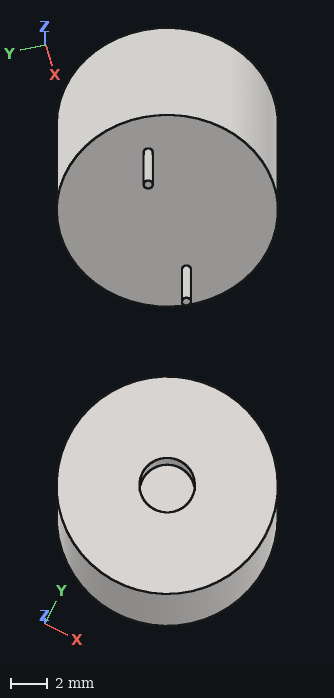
import cadquery as cq

total_height = 13.0
body_diameter = 12.0
pin_length = 3.5
body_height = total_height - pin_length

hole_diameter = 3.0
hole_depth = 2.0

pin_diameter = 0.5
pin_spacing = 7.6


def make_body():
    """Round housing standing on Z = 0, with the sound hole in its top."""
    housing = cq.Workplane("XY").circle(body_diameter / 2).extrude(body_height)
    return housing.faces(">Z").workplane().hole(hole_diameter, hole_depth)


def make_pins():
    """Pins hanging down from the underside of the housing."""
    pin_centres = [(-pin_spacing / 2, 0), (pin_spacing / 2, 0)]
    return cq.Workplane("XY").pushPoints(pin_centres).circle(pin_diameter / 2).extrude(-pin_length)


result = make_body().union(make_pins())